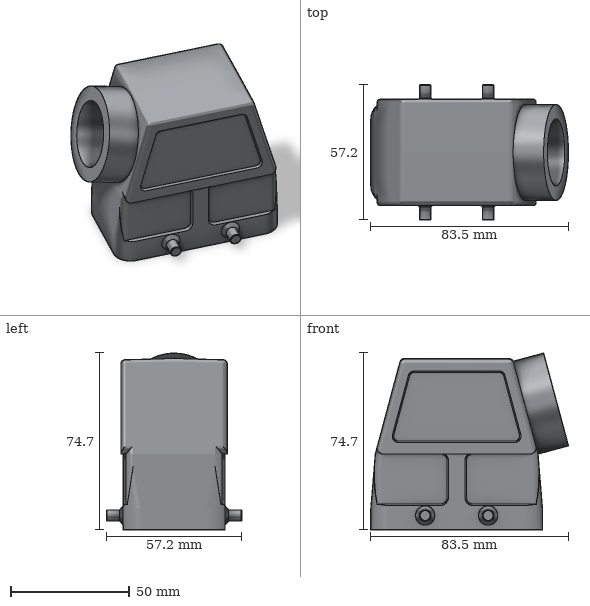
import cadquery as cq
import math

base_half_length = 36.3
base_half_width = 21.5
base_height = 8.9
base_corner_radius = 7.5

neck_half_width = 20.3
neck_corner_radius = 3.0
neck_half_length = 34.4
neck_overlap = 8.0
band_height = 10.6
blend_top = 26.7
blend_foot_y = 19.8
pocket_edge_run = 0.6
pocket_corner_radius = 2.7
rib_half_width = 3.5

hood_bottom = 32.0
hood_half_width = 22.5
hood_slope = 15.0
ridge_height = 72.35
eave_height = 71.85
hood_edge_radius = 2.0
hood_heel_radius = 2.7
trim_allowance = 1.0

window_bottom = 36.9
window_top = 67.1
window_inset = 5.1
window_depth = 1.0
window_edge_run = 0.55
window_corner_radius = 2.7

outlet_diameter = 40.6
outlet_bore = 28.3
outlet_length = 13.3
outlet_embed = 2.0

pin_spacing = 26.6
pin_height = 6.05
pin_diameter = 4.8
pin_tip_y = 28.6
pin_chamfer = 0.3
pin_root_diameter = 8.1
pin_root_end_y = 23.0

slope_tangent = math.tan(math.radians(hood_slope))
end_run = (base_half_length - neck_half_length) / (hood_bottom - base_height)
neck_corner_y = neck_half_width - neck_corner_radius
blend_corner_radius = base_half_width - neck_corner_y
neck_top = hood_bottom + neck_overlap
pocket_depth = base_half_width - neck_half_width


def end_x(z):
    """Half length of the body at height z."""
    if z <= base_height:
        return base_half_length
    if z <= hood_bottom:
        return base_half_length - (z - base_height) * end_run
    return neck_half_length - (z - hood_bottom) * slope_tangent


def side_prism(heights, y_inner, y_outer):
    """Symmetric side outline through the given heights, filling y_inner to y_outer on the -Y side."""
    right = [(end_x(z), z) for z in heights]
    left = [(-x, z) for x, z in reversed(right)]
    outline = cq.Workplane("XZ", origin=(0, -y_inner, 0)).polyline(right + left).close()
    return outline.extrude(y_outer - y_inner)


def half_box(z_bottom, z_top, y_inner, y_outer):
    """Block as long as the base on the -Y side."""
    size_z = z_top - z_bottom
    block = cq.Workplane("XY").box(2 * base_half_length, y_outer - y_inner, size_z)
    return block.translate((0, -(y_inner + y_outer) / 2, (z_bottom + z_top) / 2))


def rounded_section(z, radius):
    """Closed rounded rectangle of the base width at height z."""
    section = cq.Sketch().rect(2 * end_x(z), 2 * base_half_width).vertices().fillet(radius)
    return section.moved(cq.Location(cq.Vector(0, 0, z)))


def rounded_loft(z_bottom, radius_bottom, z_top, radius_top):
    """Ruled solid between two rounded sections of the base outline."""
    sections = [rounded_section(z_bottom, radius_bottom), rounded_section(z_top, radius_top)]
    return cq.Workplane("XY").placeSketch(*sections).loft(ruled=True)


def make_envelope():
    """Base outline whose large corners sharpen as the ends lean inwards."""
    base = rounded_loft(0, base_corner_radius, base_height, base_corner_radius)
    blend = rounded_loft(base_height, base_corner_radius, blend_top, blend_corner_radius)
    top = rounded_loft(blend_top, blend_corner_radius, hood_bottom, blend_corner_radius)
    return base.union(blend).union(top)


def make_neck():
    """Narrow body with rounded corners that stand upright below the corner blends."""
    neck = side_prism((blend_top, hood_bottom, neck_top), 0, neck_half_width)
    post = (
        cq.Workplane("XY")
        .center(0, -neck_half_width / 2)
        .rect(2 * end_x(blend_top), neck_half_width)
        .extrude(blend_top)
    )
    corners = neck.union(post).faces("<Y").edges("not #Z")
    return corners.fillet(neck_corner_radius)


def make_pocket(side):
    """Recess beside the middle rib, open at the end of the body; side is -1 or +1."""
    length = base_half_length
    z_top = hood_bottom + pocket_edge_run
    z_bottom = band_height - pocket_edge_run / 2
    opening = (
        cq.Sketch()
        .rect(length, z_top - z_bottom)
        .vertices()
        .fillet(pocket_corner_radius + pocket_edge_run)
    )
    taper = math.degrees(math.atan2(pocket_edge_run, pocket_depth))
    center_x = side * (rib_half_width + length / 2)
    center_z = (z_bottom + z_top) / 2
    plane = cq.Workplane("XZ", origin=(center_x, -base_half_width, center_z))
    return plane.placeSketch(opening).extrude(-pocket_depth, taper=taper)


def make_end_flare():
    """Part of the base outline that spreads from the upright neck corners down to the base."""
    return (
        cq.Workplane("YZ", origin=(-base_half_length, 0, 0))
        .polyline([
            (0, 0),
            (0, hood_bottom),
            (-neck_corner_y, hood_bottom),
            (-neck_corner_y, blend_top),
            (-blend_foot_y, band_height),
            (-blend_foot_y, 0),
        ])
        .close()
        .extrude(2 * base_half_length)
    )


def make_lower_half():
    """Neck, base band and pocketed side skin, with the neck carried up into the hood."""
    neck = make_neck()
    frame = half_box(0, hood_bottom, neck_half_width, base_half_width)
    for side in (-1, 1):
        frame = frame.cut(make_pocket(side))
    band = half_box(0, band_height, 0, neck_half_width)
    lower = neck.union(make_end_flare()).union(band).union(frame)
    above = half_box(hood_bottom, ridge_height, 0, hood_half_width)
    return lower.intersect(make_envelope()).union(neck.intersect(above))


def make_window():
    """Tapered recess following the slope of the hood ends."""
    bottom_x = end_x(window_bottom) - window_inset
    top_x = end_x(window_top) - window_inset
    opening = (
        cq.Sketch()
        .polygon([
            (-bottom_x, window_bottom),
            (bottom_x, window_bottom),
            (top_x, window_top),
            (-top_x, window_top),
            (-bottom_x, window_bottom),
        ])
        .vertices()
        .fillet(window_corner_radius)
    )
    taper = math.degrees(math.atan2(window_edge_run, window_depth))
    plane = cq.Workplane("XZ", origin=(0, -hood_half_width, 0))
    return plane.placeSketch(opening).extrude(-window_depth, taper=taper)


def make_hood_half():
    """Sloping hood with a shallow roof; its overhanging side ends in rounded heels."""
    roof_section = (
        cq.Workplane("YZ", origin=(-base_half_length, 0, 0))
        .polyline([
            (0, hood_bottom),
            (0, ridge_height),
            (-hood_half_width, eave_height),
            (-hood_half_width, hood_bottom),
        ])
        .close()
        .extrude(2 * base_half_length)
    )
    hood_heights = (hood_bottom, ridge_height + trim_allowance)
    hood = side_prism(hood_heights, 0, hood_half_width).intersect(roof_section)
    side_edges = hood.faces("<Y").edges("not <Z")
    ridge_edges = hood.faces(">Z").edges("not |X")
    hood = hood.newObject(side_edges.add(ridge_edges).vals()).fillet(hood_edge_radius)

    heel_outline = side_prism(hood_heights, neck_corner_y, hood_half_width)
    heel_outline = heel_outline.edges("|Y and <Z").fillet(hood_heel_radius)
    middle = half_box(hood_bottom, ridge_height, 0, neck_corner_y)
    return hood.intersect(heel_outline.union(middle)).cut(make_window())


def make_pin(x):
    """Locking pin with a conical root on the -Y side."""
    pin_radius = pin_diameter / 2
    return (
        cq.Workplane("XY", origin=(x, 0, pin_height))
        .polyline([
            (0, -neck_half_width),
            (pin_root_diameter / 2, -neck_half_width),
            (pin_root_diameter / 2, -base_half_width),
            (pin_radius, -pin_root_end_y),
            (pin_radius, -pin_tip_y + pin_chamfer),
            (pin_radius - pin_chamfer, -pin_tip_y),
            (0, -pin_tip_y),
        ])
        .close()
        .revolve(360, (0, 0, 0), (0, 1, 0))
    )


def make_outlet_plane():
    """Plane on the sloping +X end, facing along the outlet axis."""
    radius = outlet_diameter / 2
    slope = math.radians(hood_slope)
    center_x = neck_half_length - radius * math.sin(slope)
    center_z = hood_bottom + radius * math.cos(slope)
    return cq.Plane(
        origin=(center_x, 0, center_z),
        xDir=(0, 1, 0),
        normal=(math.cos(slope), 0, math.sin(slope)),
    )


half = make_lower_half().union(make_hood_half())
for pin_x in (-pin_spacing / 2, pin_spacing / 2):
    half = half.union(make_pin(pin_x))
body = half.union(half.mirror("XZ"), clean=False)

outlet_plane = make_outlet_plane()
outlet = (
    cq.Workplane(outlet_plane)
    .workplane(offset=-outlet_embed)
    .circle(outlet_diameter / 2)
    .extrude(outlet_length + outlet_embed)
)
bore = cq.Workplane(outlet_plane).circle(outlet_bore / 2).extrude(outlet_length)
result = body.union(outlet, clean=False).cut(bore, clean=False)